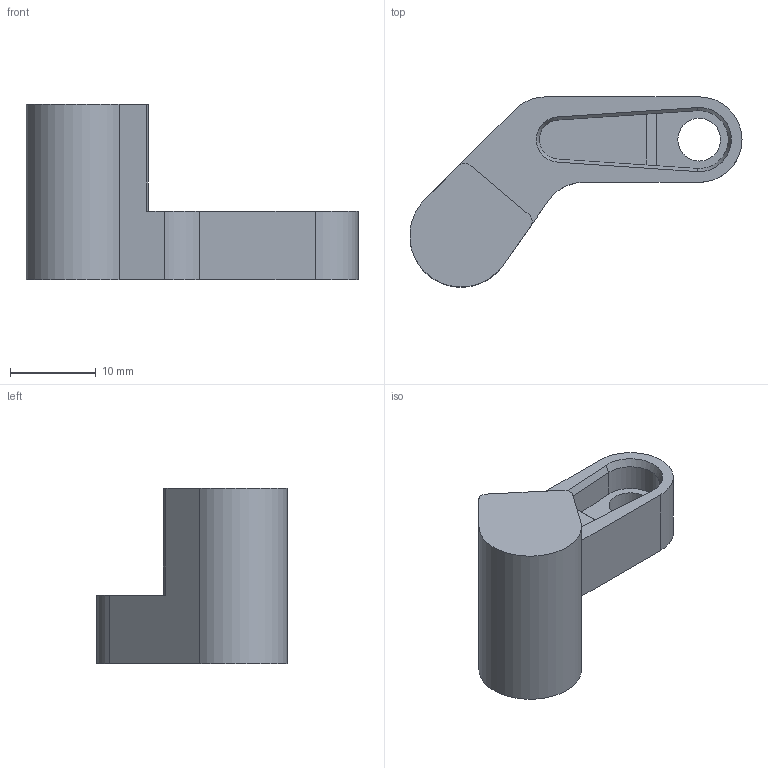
import cadquery as cq
import math


bar_height = 8.0
eye_radius = 5.0
hole_diameter = 5.0
bend_radius = 5.0

post_radius = 6.0
post_height = 20.5
post_x = -27.85
post_y = -11.27
outer_side_angle = 45.0
inner_side_angle = 55.0
arm_angle = (outer_side_angle + inner_side_angle) / 2
flat_offset = 7.0
post_corner_radius = 1.0

pocket_end_x = -16.4
pocket_wide_radius = 3.75
pocket_narrow_radius = 2.65
rim_inset = 0.36
rim_depth = 0.9
pocket_depth = 4.0
ramp_start_x = -6.2
ramp_end_x = -5.0
ramp_rise = ramp_end_x - ramp_start_x


def point_on_post(angle):
    """Point of the post circle in the given direction from its axis."""
    turn = math.radians(angle)
    return (post_x + post_radius * math.cos(turn), post_y + post_radius * math.sin(turn))


def bend_corner(start, angle, y):
    """Sharp corner where an arm side meets the bar side at the given y."""
    return (start[0] + (y - start[1]) / math.tan(math.radians(angle)), y)


def make_plan(height):
    """Lever outline, with the elbow rounded, extruded up from the base."""
    outer_start = point_on_post(outer_side_angle + 90)
    inner_start = point_on_post(inner_side_angle - 90)
    post_back = point_on_post(arm_angle + 180)
    outer_corner = bend_corner(outer_start, outer_side_angle, eye_radius)
    inner_corner = bend_corner(inner_start, inner_side_angle, -eye_radius)
    plan = (
        cq.Workplane("XY")
        .moveTo(*outer_start)
        .lineTo(*outer_corner)
        .lineTo(0, eye_radius)
        .threePointArc((eye_radius, 0), (0, -eye_radius))
        .lineTo(*inner_corner)
        .lineTo(*inner_start)
        .threePointArc(post_back, outer_start)
        .close()
        .extrude(height)
    )
    for corner in (outer_corner, inner_corner):
        nearest = cq.selectors.NearestToPointSelector((*corner, height / 2))
        plan = plan.edges("|Z").edges(nearest).fillet(bend_radius)
    return plan


def make_post():
    """Full-height stretch of the arm behind the flat face, with rounded corners."""
    block_size = 4 * post_radius
    behind_flat = (
        cq.Workplane("XY")
        .box(block_size, block_size, post_height, centered=(False, True, False))
        .translate((flat_offset - block_size, 0, 0))
        .rotate((0, 0, 0), (0, 0, 1), arm_angle)
        .translate((post_x, post_y, 0))
    )
    turn = math.radians(arm_angle)
    flat_direction = cq.Vector(math.cos(turn), math.sin(turn), 0)
    post = make_plan(post_height).intersect(behind_flat)
    flat_face = post.faces(cq.selectors.DirectionMinMaxSelector(flat_direction))
    return flat_face.edges("|Z").fillet(post_corner_radius)


def pocket_wire(inset, z):
    """Closed outline around the narrow and wide ends, shrunk by the inset."""
    narrow = pocket_narrow_radius - inset
    wide = pocket_wide_radius - inset
    lean = math.asin((wide - narrow) / pocket_end_x)
    across = math.cos(lean)
    along = math.sin(lean)
    narrow_x = pocket_end_x + narrow * along
    wide_x = wide * along
    return (
        cq.Workplane("XY", origin=(0, 0, z))
        .moveTo(narrow_x, -narrow * across)
        .lineTo(wide_x, -wide * across)
        .threePointArc((wide, 0), (wide_x, wide * across))
        .lineTo(narrow_x, narrow * across)
        .threePointArc((pocket_end_x - narrow, 0), (narrow_x, -narrow * across))
        .close()
        .val()
    )


def make_pocket():
    """Pocket with a sloped rim, straight walls and a ramp up to a raised floor."""
    rim_bottom = pocket_wire(rim_inset, bar_height - rim_depth)
    rim = cq.Solid.makeLoft([rim_bottom, pocket_wire(0, bar_height)], True)
    floor_z = bar_height - pocket_depth
    wall_rise = cq.Vector(0, 0, pocket_depth - rim_depth)
    walls = cq.Solid.extrudeLinear(pocket_wire(rim_inset, floor_z), [], wall_rise)
    far_x = pocket_end_x - pocket_narrow_radius
    raised_floor = (
        cq.Workplane("XZ")
        .moveTo(far_x, floor_z)
        .lineTo(ramp_end_x, floor_z)
        .lineTo(ramp_start_x, floor_z + ramp_rise)
        .lineTo(far_x, floor_z + ramp_rise)
        .close()
        .extrude(pocket_wide_radius, both=True)
    )
    return cq.Workplane(walls).cut(raised_floor).union(cq.Workplane(rim))


def make_hole():
    return cq.Workplane("XY").circle(hole_diameter / 2).extrude(bar_height)


result = make_plan(bar_height).union(make_post()).cut(make_pocket()).cut(make_hole())